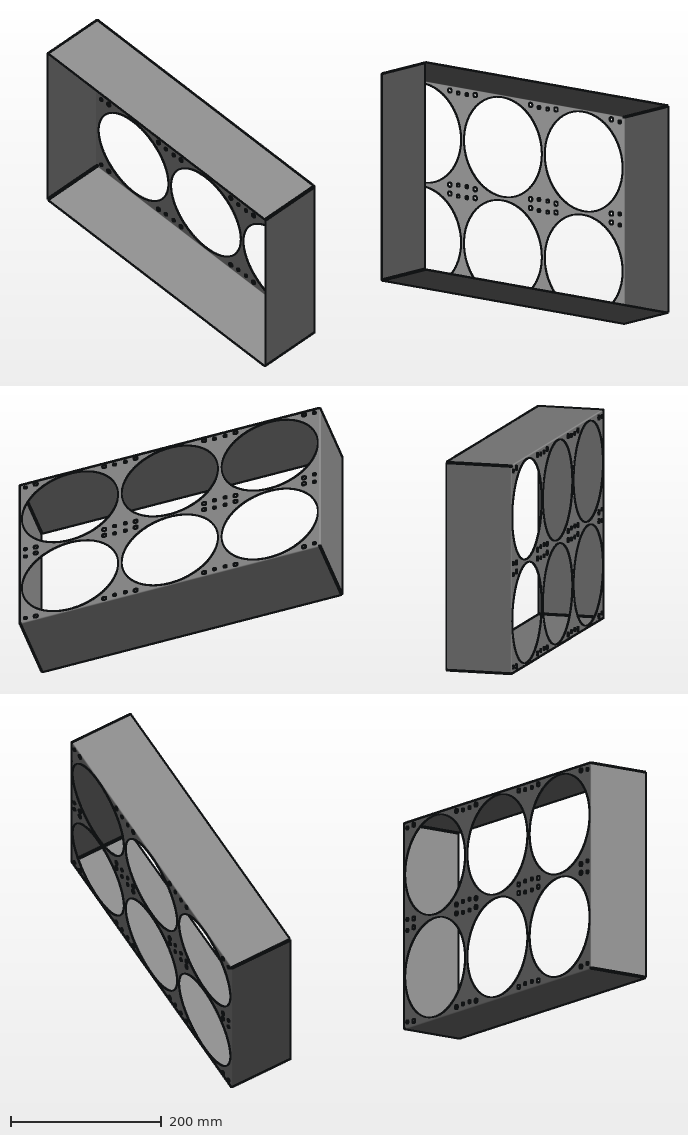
import cadquery as cq

length = 422.47
depth = 91.0
height = 282.47

sheet = 1.0
inner_radius = 0.735
outer_radius = sheet + inner_radius
corner_inset = 2.0

columns = 3
rows = 2
pitch = 140.0
opening_diameter = 135.0
large_hole_diameter = 6.0
large_hole_offset_x = 48.0
large_hole_offset_z = 64.0
small_hole_diameter = 4.5
small_hole_offset = 62.5


def wall_pair(outer_span, width):
    """Two opposite walls joined by a back web: a bent channel, open toward -Y and extruded along Z."""
    channel = (
        cq.Workplane("XY")
        .box(outer_span, depth, width)
        .edges("|Z and >Y")
        .fillet(outer_radius)
    )
    inside = (
        cq.Workplane("XY")
        .box(outer_span - 2 * sheet, depth, width)
        .edges("|Z and >Y")
        .fillet(inner_radius)
        .translate((0, -sheet, 0))
    )
    return channel.cut(inside)


def folded_tray():
    """Back panel with four bent walls and open corners between them."""
    side_walls = wall_pair(length, height - 2 * corner_inset)
    top_and_bottom = wall_pair(height, length - 2 * corner_inset).rotate((0, 0, 0), (0, 1, 0), 90)
    return side_walls.union(top_and_bottom)


def cell_centres():
    """Centres of the large openings, on a grid about the panel centre, as (x, z)."""
    return [
        ((column - (columns - 1) / 2) * pitch, (row - (rows - 1) / 2) * pitch)
        for column in range(columns)
        for row in range(rows)
    ]


def around(offset_x, offset_z):
    """Four points placed symmetrically about every cell centre."""
    return [
        (x + sign_x * offset_x, z + sign_z * offset_z)
        for x, z in cell_centres()
        for sign_x in (-1, 1)
        for sign_z in (-1, 1)
    ]


def drill(panel, centres, diameter):
    """Cut round holes through the back panel."""
    cutters = (
        cq.Workplane("XZ", origin=(0, depth / 2, 0))
        .pushPoints(centres)
        .circle(diameter / 2)
        .extrude(sheet)
    )
    return panel.cut(cutters)


result = folded_tray()
result = drill(result, cell_centres(), opening_diameter)
result = drill(result, around(large_hole_offset_x, large_hole_offset_z), large_hole_diameter)
result = drill(result, around(small_hole_offset, small_hole_offset), small_hole_diameter)